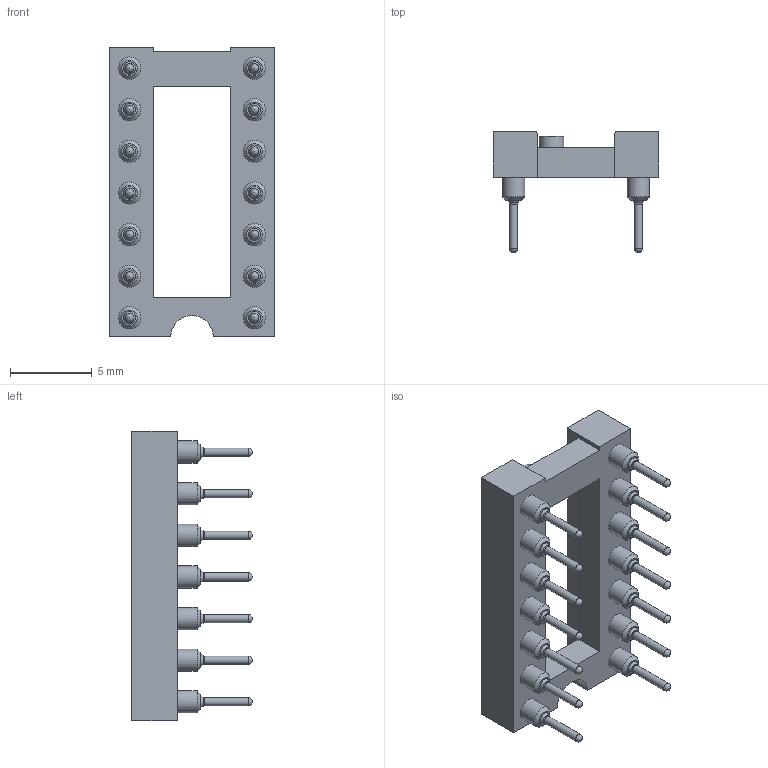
import cadquery as cq
import math


frame_width = 10.1
frame_height = 17.68
rail_depth = 2.8
bridge_depth = 1.84
rail_gap = 4.7
rail_draft_angle = 2.0
window_height = 12.9
top_recess = 0.26
notch_radius = 1.3

boss_diameter = 1.5
boss_height = 0.67
boss_x = -1.5
boss_z = 7.38

pins_per_row = 7
pin_pitch = 2.54
row_spacing = 7.62
array_shift_z = -0.06

total_depth = 7.37
pin_length = total_depth - rail_depth
collar_radius = 0.68
collar_length = 1.2
collar_end_radius = 0.47
collar_end = 1.4
neck_radius = 0.38
neck_shoulder_radius = 0.27
neck_shoulder = 1.56
neck_end = 1.63
wire_radius = 0.25

half_width = frame_width / 2
half_height = frame_height / 2
half_gap = rail_gap / 2
half_window = window_height / 2
bridge_top = half_height - top_recess


def make_rail():
    """Right-hand rail, with its inner face drafted behind the bridges."""
    draft = (rail_depth - bridge_depth) * math.tan(math.radians(rail_draft_angle))
    outline = [
        (half_gap, 0),
        (half_width, 0),
        (half_width, rail_depth),
        (half_gap + draft, rail_depth),
        (half_gap, bridge_depth),
    ]
    return cq.Workplane("XY", origin=(0, 0, -half_height)).polyline(outline).close().extrude(frame_height)


def make_bridge(bottom, top):
    """Cross bar that joins the two rails between two heights."""
    corner = (-half_gap, 0, bottom)
    return cq.Workplane("XY").box(rail_gap, bridge_depth, top - bottom, centered=False).translate(corner)


def make_notch():
    """Cylinder that cuts the semicircular orientation notch in the bottom bridge."""
    start = (0, bridge_depth, -half_height)
    return cq.Workplane("XZ", origin=start).circle(notch_radius).extrude(bridge_depth)


def make_boss():
    """Round boss that stands on the back face of the top bridge."""
    start = (boss_x, bridge_depth + boss_height, boss_z)
    return cq.Workplane("XZ", origin=start).circle(boss_diameter / 2).extrude(boss_height)


def make_pin():
    """Turned pin on the Y axis: collar, tapered neck and a round-tipped wire."""
    tip_start = pin_length - wire_radius
    tip_middle = wire_radius * math.sqrt(0.5)
    return (
        cq.Workplane("XY")
        .moveTo(0, 0)
        .lineTo(collar_radius, 0)
        .lineTo(collar_radius, -collar_length)
        .lineTo(collar_end_radius, -collar_end)
        .lineTo(neck_radius, -collar_end)
        .lineTo(neck_shoulder_radius, -neck_shoulder)
        .lineTo(wire_radius, -neck_end)
        .lineTo(wire_radius, -tip_start)
        .threePointArc((tip_middle, -tip_start - tip_middle), (0, -pin_length))
        .close()
        .revolve(360, (0, 0, 0), (0, 1, 0))
    )


def make_frame():
    """Two rails, two bridges, the notch and the boss."""
    rail = make_rail()
    frame = rail.union(rail.mirror("YZ"))
    frame = frame.union(make_bridge(half_window, bridge_top))
    frame = frame.union(make_bridge(-half_height, -half_window))
    return frame.cut(make_notch()).union(make_boss())


def add_pins(frame):
    """Place one pin at every position of the two rows."""
    pin = make_pin()
    first_z = array_shift_z - pin_pitch * (pins_per_row - 1) / 2
    for x in (-row_spacing / 2, row_spacing / 2):
        for index in range(pins_per_row):
            frame = frame.union(pin.translate((x, 0, first_z + index * pin_pitch)))
    return frame


result = add_pins(make_frame())